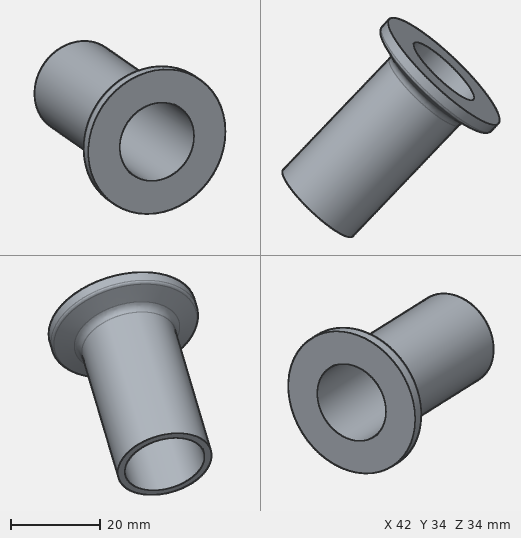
import cadquery as cq
import math

total_length = 42.0
tube_diameter = 21.7
bore_diameter = 18.4
flange_diameter = 34.0
rim_thickness = 2.85
cone_angle = 20.0
neck_fillet_radius = 2.0
rim_fillet_radius = 0.75

tube_radius = tube_diameter / 2
bore_radius = bore_diameter / 2
flange_radius = flange_diameter / 2

rim_edge_x = total_length - rim_thickness
cone_length = (flange_radius - tube_radius) * math.tan(math.radians(cone_angle))
cone_start_x = rim_edge_x - cone_length


def circle_at(x, radius):
    """Selector box test: edges of the given radius around X at position x."""
    tolerance = 0.01
    return cq.selectors.BoxSelector(
        (x - tolerance, -radius - tolerance, -radius - tolerance),
        (x + tolerance, radius + tolerance, radius + tolerance),
        boundingbox=True,
    )


def make_ferrule_blank():
    """Revolve the tube wall and the conical flange with sharp corners."""
    profile = (
        cq.Workplane("XY")
        .moveTo(0, bore_radius)
        .lineTo(0, tube_radius)
        .lineTo(cone_start_x, tube_radius)
        .lineTo(rim_edge_x, flange_radius)
        .lineTo(total_length, flange_radius)
        .lineTo(total_length, bore_radius)
        .close()
    )
    return profile.revolve(360, (0, 0, 0), (1, 0, 0))


def round_flange(body):
    """Blend the neck into the cone and the cone into the rim."""
    body = body.edges(circle_at(cone_start_x, tube_radius)).fillet(neck_fillet_radius)
    return body.edges(circle_at(rim_edge_x, flange_radius)).fillet(rim_fillet_radius)


result = round_flange(make_ferrule_blank())